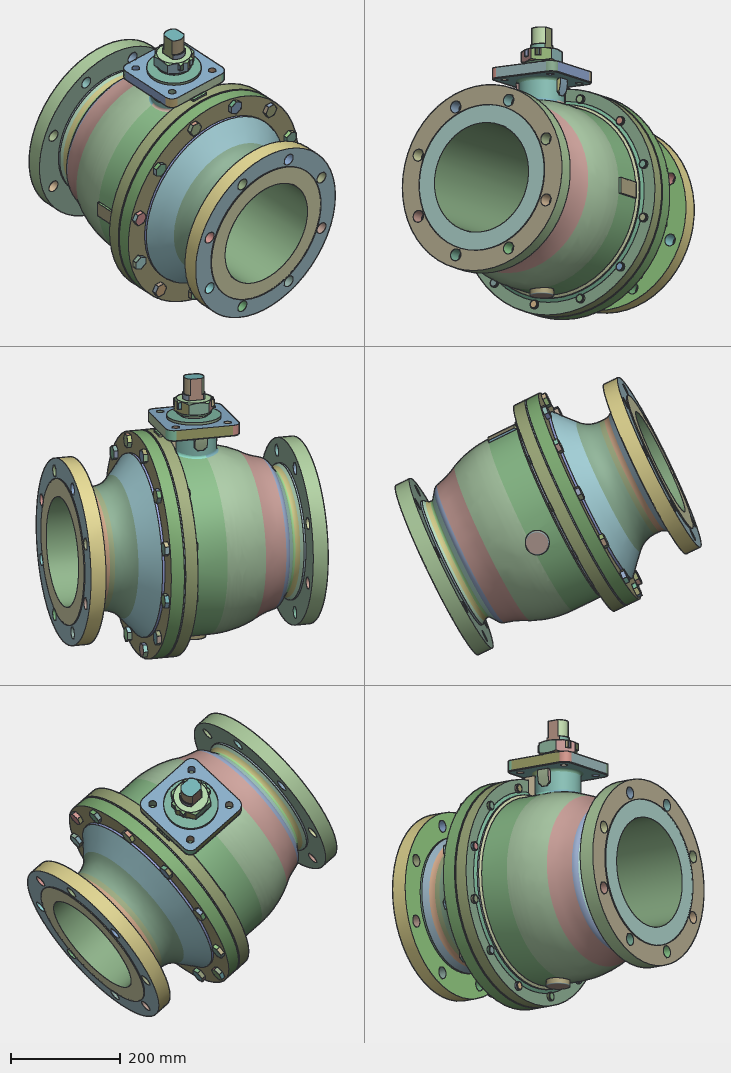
import cadquery as cq
import math


bore_dia = 203.0
inlet_x = -206.5
outlet_x = 251.0
end_flange_dia = 345.0
end_flange_thickness = 28.5
raised_face_dia = 270.0
raised_face_height = 2.0
end_bolt_circle = 298.5
end_hole_dia = 22.0
end_hole_count = 8

joint_dia = 418.5
joint_x = 55.5
body_flange_thickness = 23.5
gasket_dia = 417.5
gasket_thickness = 2.5
cover_flange_thickness = 25.0
joint_bolt_circle = 384.5
joint_bolt_count = 12
stud_dia = 16.0
stud_tip_dia = 13.5
stud_projection = 5.0
joint_nut_corner_dia = 27.0
joint_nut_height = 8.5

body_radius = 174.5
body_neck_radius = 118.0
hub_radius = 179.5
hub_step_length = 3.0
hub_foot_length = 3.5
hub_foot_radius = 186.0
cover_neck_radius = 114.5
cover_hub_radius = 169.5
cover_hub_length = 4.5
cover_cone_end_x = 145.0
cover_cone_end_radius = 131.5
cover_neck_start_x = 184.5
cover_neck_end_x = 194.5
flange_foot_radius = 126.0
flange_foot_length = 3.5

pad_start_x = -12.0
pad_end_x = 45.5
pad_width = 29.0
pad_reach = 178.0
pad_root_depth = 5.0
pad_bevel = 4.0
drain_boss_dia = 44.0
drain_boss_bottom = -185.0
drain_boss_fillet = 1.5

bonnet_dia = 83.5
bonnet_fillet = 5.0
bonnet_root_fillet = 4.5
plate_size = 139.5
plate_thickness = 21.0
plate_top_z = 235.5
plate_corner_radius = 15.5
plate_bevel = 1.5
plate_hole_pitch = 99.0
plate_hole_dia = 13.5
spigot_dia = 100.0
spigot_height = 4.5
side_rib_width = 23.5
side_rib_reach = 48.0
side_rib_bottom = 184.0
side_rib_foot_reach = 42.5
side_rib_bevel = 6.5
web_width = 32.5
web_start_x = 38.5
web_end_x = 71.0
web_bottom = 175.0
web_top = 212.5
web_bevel = 4.0
web_head_setback = 5.0

gland_dia = 50.5
gland_height = 5.0
washer_dia = 64.0
washer_height = 3.0
stem_nut_across_flats = 65.5
stem_nut_height = 23.5
stem_nut_bevel_depth = 2.5
lock_tab_reach = 35.0
lock_tab_width = 32.5
lock_tab_gap = 15.5
lock_tab_height = 14.5
stem_lower_dia = 41.5
stem_upper_dia = 37.0
stem_across_flats = 30.5
stem_shoulder_height = 10.0
stem_top_z = 522.5 - joint_dia / 2

plate_bottom_z = plate_top_z - plate_thickness
inlet_back_x = inlet_x + raised_face_height + end_flange_thickness
outlet_back_x = outlet_x - raised_face_height - end_flange_thickness
gasket_x = joint_x + body_flange_thickness
cover_flange_x = gasket_x + gasket_thickness
cover_x = cover_flange_x + cover_flange_thickness


def disc_x(dia, start, length):
    """Cylinder along X."""
    return cq.Workplane("YZ", origin=(start, 0, 0)).circle(dia / 2).extrude(length)


def disc_z(dia, start, height):
    """Cylinder along Z on the stem axis."""
    return cq.Workplane("XY", origin=(0, 0, start)).circle(dia / 2).extrude(height)


def hexagon_z(corner_dia, start, height):
    """Hexagonal prism on the stem axis with two corners on the X axis."""
    return cq.Workplane("XY", origin=(0, 0, start)).polygon(6, corner_dia).extrude(height)


def block(x_range, y_range, z_range):
    """Box between the given limits."""
    size = [high - low for low, high in (x_range, y_range, z_range)]
    corner = (x_range[0], y_range[0], z_range[0])
    return cq.Workplane("XY").box(*size, centered=False).translate(corner)


def revolve_about_bore(profile):
    """Turn a closed X-radius outline about the bore axis."""
    return profile.close().revolve(360, (0, 0, 0), (1, 0, 0))


def bolt_points(count, circle_dia):
    """(angle, y, z) of evenly spaced bolts that straddle the vertical centreline."""
    pitch = 360 / count
    points = []
    for index in range(count):
        angle = (index + 0.5) * pitch
        turn = math.radians(angle)
        points.append((angle, circle_dia / 2 * math.cos(turn), circle_dia / 2 * math.sin(turn)))
    return points


def body_casting():
    """Inlet neck swelling into the ball chamber and running into the joint flange."""
    profile = (
        cq.Workplane("XY")
        .moveTo(inlet_back_x, 0)
        .lineTo(inlet_back_x, flange_foot_radius)
        .lineTo(inlet_back_x + flange_foot_length, flange_foot_radius)
        .lineTo(-166.5, 121.0)
        .threePointArc((-163.0, 119.0), (-158.5, body_neck_radius))
        .threePointArc((-155.0, 119.0), (-152.5, 121.5))
        .lineTo(-143.5, 134.0)
        .threePointArc((-140.0, 138.0), (-134.5, 140.5))
        .threePointArc((-112.0, 147.5), (-90.5, 158.0))
        .threePointArc((-52.0, 170.5), (pad_start_x, body_radius))
        .lineTo(pad_end_x, body_radius)
        .lineTo(pad_end_x + hub_step_length, hub_radius)
        .lineTo(joint_x - hub_foot_length, hub_radius)
        .lineTo(joint_x, hub_foot_radius)
        .lineTo(joint_x, 0)
    )
    return revolve_about_bore(profile)


def cover_casting():
    """Short hub, cone and waisted outlet neck."""
    hub_end_x = cover_x + cover_hub_length
    profile = (
        cq.Workplane("XY")
        .moveTo(cover_x, 0)
        .lineTo(cover_x, cover_hub_radius)
        .lineTo(hub_end_x, cover_hub_radius)
        .lineTo(cover_cone_end_x, cover_cone_end_radius)
        .tangentArcPoint((cover_neck_start_x, cover_neck_radius), relative=False)
        .lineTo(cover_neck_end_x, cover_neck_radius)
        .threePointArc((199.5, 115.5), (205.0, 118.0))
        .lineTo(outlet_back_x - flange_foot_length, flange_foot_radius)
        .lineTo(outlet_back_x, flange_foot_radius)
        .lineTo(outlet_back_x, 0)
    )
    return revolve_about_bore(profile)


def end_flange(face_x, inward):
    """Drilled flange with a raised face; inward is +1 or -1 along X."""
    seat_x = face_x + inward * raised_face_height
    flange = disc_x(end_flange_dia, seat_x, inward * end_flange_thickness)
    for _, y, z in bolt_points(end_hole_count, end_bolt_circle):
        flange = flange.cut(disc_x(end_hole_dia, seat_x, inward * end_flange_thickness).translate((0, y, z)))
    return flange.union(disc_x(raised_face_dia, face_x, inward * raised_face_height))


def joint_flanges():
    """Body flange, gasket and cover flange."""
    flanges = disc_x(joint_dia, joint_x, body_flange_thickness)
    flanges = flanges.union(disc_x(gasket_dia, gasket_x, gasket_thickness))
    return flanges.union(disc_x(joint_dia, cover_flange_x, cover_flange_thickness))


def joint_bolting():
    """Bevelled stud ends on the body side and hexagon nuts on the cover side."""
    stud = disc_x(stud_dia, joint_x, -stud_projection)
    stud = stud.faces("<X").chamfer((stud_dia - stud_tip_dia) / 2)
    nut = cq.Workplane("YZ").polygon(6, joint_nut_corner_dia).extrude(joint_nut_height)
    corner_up_turn = 30
    first_angle = 180 / joint_bolt_count
    parts = cq.Workplane("XY")
    for angle, y, z in bolt_points(joint_bolt_count, joint_bolt_circle):
        turned_nut = nut.rotate((0, 0, 0), (1, 0, 0), angle - first_angle + corner_up_turn)
        parts = parts.add(stud.translate((0, y, z)))
        parts = parts.add(turned_nut.translate((cover_x, y, z)))
    return parts


def nameplate_pad():
    """Flat pad on the -Y side of the chamber, bevelled at its joint end."""
    half_width = pad_width / 2
    pad_root_y = pad_root_depth - body_radius
    pad = block((pad_start_x, pad_end_x), (-pad_reach, pad_root_y), (-half_width, half_width))
    return pad.faces("<Y").edges(">X").chamfer(pad_bevel)


def drain_boss():
    """Round boss under the chamber."""
    boss = disc_z(drain_boss_dia, drain_boss_bottom, body_radius - bore_dia / 2)
    return boss.faces("<Z").edges().fillet(drain_boss_fillet)


def bonnet():
    """Round bonnet neck with its side ribs, joint web, and the drilled actuator plate."""
    neck_radius = bonnet_dia / 2
    neck = (
        cq.Workplane("XZ")
        .moveTo(0, body_neck_radius)
        .lineTo(neck_radius, body_neck_radius)
        .lineTo(neck_radius, plate_bottom_z - bonnet_fillet)
        .radiusArc((neck_radius + bonnet_fillet, plate_bottom_z), bonnet_fillet)
        .lineTo(0, plate_bottom_z)
        .close()
        .revolve(360, (0, 0, 0), (0, 1, 0))
    )
    plate = (
        cq.Workplane("XY", origin=(0, 0, plate_bottom_z))
        .rect(plate_size, plate_size)
        .extrude(plate_thickness)
        .edges("|Z")
        .fillet(plate_corner_radius)
        .faces("<Z")
        .chamfer(plate_bevel)
        .faces(">Z")
        .workplane()
        .rect(plate_hole_pitch, plate_hole_pitch, forConstruction=True)
        .vertices()
        .hole(plate_hole_dia)
    )
    half_rib = side_rib_width / 2
    rib_middle_z = (plate_bottom_z + side_rib_bottom) / 2
    rib_middle_reach = side_rib_reach - (side_rib_reach - side_rib_foot_reach) / 4
    ribs = (
        cq.Workplane("YZ", origin=(-half_rib, 0, 0))
        .moveTo(-side_rib_reach, plate_bottom_z)
        .threePointArc((-rib_middle_reach, rib_middle_z), (-side_rib_foot_reach, side_rib_bottom))
        .lineTo(side_rib_foot_reach, side_rib_bottom)
        .threePointArc((rib_middle_reach, rib_middle_z), (side_rib_reach, plate_bottom_z))
        .close()
        .extrude(side_rib_width)
    )
    ribs = ribs.faces("<Z").edges("|Y").chamfer(side_rib_bevel)
    half_web = web_width / 2
    web = block((web_start_x, web_end_x), (-half_web, half_web), (web_bottom, web_top))
    web = web.faces("<Z").edges("<X").chamfer(web_bevel)
    web_head_end_x = plate_size / 2 - web_head_setback
    web_head = block((web_start_x, web_head_end_x), (-half_web, half_web), (web_top, plate_bottom_z))
    return neck.union(ribs).union(web).union(web_head).union(plate)


def stem_stack():
    """Spigot, gland, washer, stem nut with lock tabs, and the two-flat stem."""
    gland_z = plate_top_z + spigot_height
    washer_z = gland_z + gland_height
    nut_z = washer_z + washer_height
    nut_top_z = nut_z + stem_nut_height
    shoulder_z = nut_top_z + stem_shoulder_height
    nut_corner_dia = stem_nut_across_flats / math.cos(math.radians(30))

    stack = disc_z(spigot_dia, plate_top_z, spigot_height)
    stack = stack.union(disc_z(gland_dia, gland_z, gland_height))
    stack = stack.union(disc_z(washer_dia, washer_z, washer_height))

    bevel_width = (nut_corner_dia - washer_dia) / 2
    blank = disc_z(nut_corner_dia, nut_z, stem_nut_height)
    blank = blank.faces(">Z").edges().chamfer(stem_nut_bevel_depth, bevel_width)
    blank = blank.faces("<Z").edges().chamfer(stem_nut_bevel_depth, bevel_width)
    nut = hexagon_z(nut_corner_dia, nut_z, stem_nut_height)
    tab_bottom_z = nut_top_z - lock_tab_height
    for side in (-1, 1):
        inner_y, outer_y = sorted((side * lock_tab_gap / 2, side * lock_tab_width / 2))
        tabs = block((-lock_tab_reach, lock_tab_reach), (inner_y, outer_y), (tab_bottom_z, nut_top_z))
        nut = nut.union(tabs)
    stack = stack.union(nut.intersect(blank))

    stem = disc_z(stem_lower_dia, nut_z, shoulder_z - nut_z)
    stem = stem.union(disc_z(stem_upper_dia, shoulder_z, stem_top_z - shoulder_z))
    half_flats = stem_across_flats / 2
    flats = block((-stem_lower_dia, stem_lower_dia), (-half_flats, half_flats), (nut_z, stem_top_z))
    return stack.union(stem.intersect(flats))


def body_with_bonnet():
    """Body and bonnet joined, with the root of the bonnet neck rounded into the chamber."""
    body = body_casting().union(bonnet())
    reach = bonnet_dia / 2
    root_zone = cq.selectors.BoxSelector((-reach, -reach, body_radius - 5), (web_start_x, reach, body_radius))
    return body.edges(root_zone).fillet(bonnet_root_fillet)


result = body_with_bonnet()
result = result.union(cover_casting()).union(joint_flanges())
result = result.union(end_flange(inlet_x, 1)).union(end_flange(outlet_x, -1))
result = result.union(nameplate_pad()).union(drain_boss()).union(stem_stack())
for piece in joint_bolting().vals():
    result = result.union(cq.Workplane(piece))
result = result.cut(disc_x(bore_dia, inlet_x, outlet_x - inlet_x))